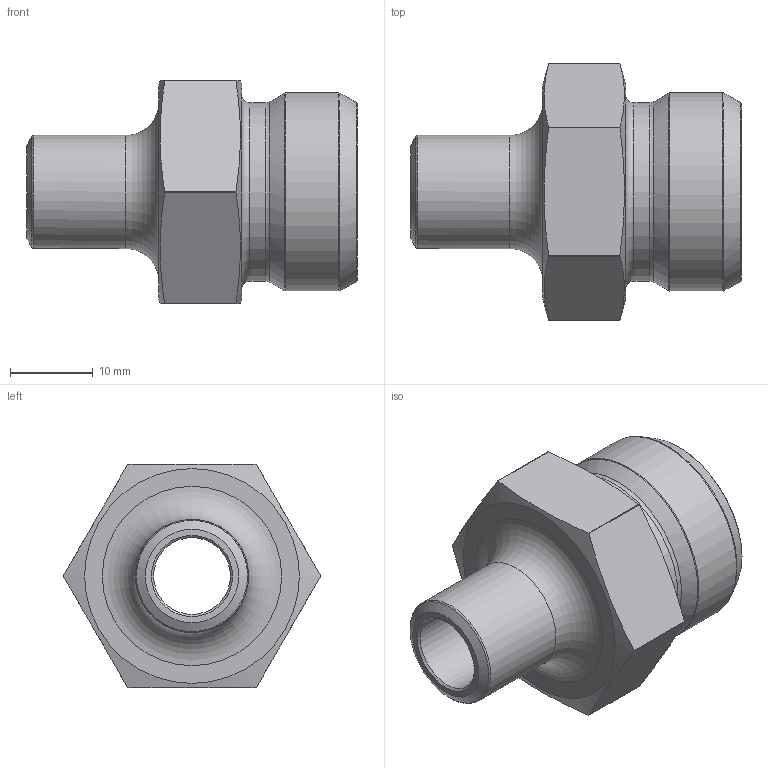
import cadquery as cq
import math

hex_start = 16.0
hex_end = 26.0
crest_end = 37.85
total_length = 40.0

spigot_diameter = 13.7
spigot_face_diameter = 11.3
spigot_fillet = 4.0
bore_diameter = 9.3
bore_mouth_diameter = 9.8
groove_diameter = 21.6
groove_fillet = 1.0
groove_width = 3.2
edge_rounding = 0.25
collar_diameter = 24.0
hex_across_flats = 27.0
hex_corner_diameter = 31.14
hex_face_diameter = 26.0

spigot_bevel_angle = 60.0
collar_cone_angle = 30.0
hex_bevel_angle = 15.0
bore_mouth_angle = 45.0


def tangent(angle):
    return math.tan(math.radians(angle))


def revolve_about_x(profile):
    return profile.close().revolve(360, (0, 0, 0), (1, 0, 0))


def round_edges(body, stations):
    """Round the circular outer edges that lie at the given stations along X."""
    margin = edge_rounding / 2
    span = 2 * collar_diameter
    for station in stations:
        slab = cq.selectors.BoxSelector(
            (station - margin, -span, -span),
            (station + margin, span, span),
            boundingbox=True,
        )
        body = body.edges(slab).fillet(edge_rounding)
    return body


def make_spigot():
    """Beveled round weld end that flares through a fillet into the hexagon face."""
    radius = spigot_diameter / 2
    face_radius = spigot_face_diameter / 2
    bevel_length = (radius - face_radius) / tangent(spigot_bevel_angle)
    flare_start = hex_start - spigot_fillet
    profile = (
        cq.Workplane("XY")
        .lineTo(0, face_radius)
        .lineTo(bevel_length, radius)
        .lineTo(flare_start, radius)
        .radiusArc((hex_start, radius + spigot_fillet), -spigot_fillet)
        .lineTo(hex_start, 0)
    )
    return round_edges(revolve_about_x(profile), [bevel_length])


def make_hexagon():
    """Hexagon with corners along Y, beveled at both ends by a round blank."""
    across_corners = hex_across_flats / math.cos(math.pi / 6)
    prism = (
        cq.Workplane("YZ", origin=(hex_start, 0, 0))
        .polygon(6, across_corners)
        .extrude(hex_end - hex_start)
    )
    corner_radius = hex_corner_diameter / 2
    face_radius = hex_face_diameter / 2
    bevel_length = (corner_radius - face_radius) * tangent(hex_bevel_angle)
    blank_profile = (
        cq.Workplane("XY")
        .moveTo(hex_start, 0)
        .lineTo(hex_start, face_radius)
        .lineTo(hex_start + bevel_length, corner_radius)
        .lineTo(hex_end - bevel_length, corner_radius)
        .lineTo(hex_end, face_radius)
        .lineTo(hex_end, 0)
    )
    return prism.intersect(revolve_about_x(blank_profile))


def make_collar():
    """Relief groove behind the hexagon, followed by the coned collar."""
    groove_radius = groove_diameter / 2
    collar_radius = collar_diameter / 2
    groove_end = hex_end + groove_width
    crest_start = groove_end + (collar_radius - groove_radius) / tangent(collar_cone_angle)
    end_radius = collar_radius - (total_length - crest_end) * tangent(collar_cone_angle)

    blend_setback = groove_fillet * tangent(collar_cone_angle / 2)
    blend_run = blend_setback * math.cos(math.radians(collar_cone_angle))
    blend_rise = blend_setback * math.sin(math.radians(collar_cone_angle))
    profile = (
        cq.Workplane("XY")
        .moveTo(hex_end, 0)
        .lineTo(hex_end, groove_radius + groove_fillet)
        .radiusArc((hex_end + groove_fillet, groove_radius), -groove_fillet)
        .lineTo(groove_end - blend_setback, groove_radius)
        .radiusArc((groove_end + blend_run, groove_radius + blend_rise), -groove_fillet)
        .lineTo(crest_start, collar_radius)
        .lineTo(crest_end, collar_radius)
        .lineTo(total_length, end_radius)
        .lineTo(total_length, 0)
    )
    return round_edges(revolve_about_x(profile), [crest_start, crest_end, total_length])


def make_bore():
    """Through bore with a chamfered mouth at the weld end."""
    bore_radius = bore_diameter / 2
    mouth_radius = bore_mouth_diameter / 2
    mouth_depth = (mouth_radius - bore_radius) / tangent(bore_mouth_angle)
    profile = (
        cq.Workplane("XY")
        .lineTo(0, mouth_radius)
        .lineTo(mouth_depth, bore_radius)
        .lineTo(total_length, bore_radius)
        .lineTo(total_length, 0)
    )
    return revolve_about_x(profile)


result = make_spigot().union(make_hexagon()).union(make_collar()).cut(make_bore())